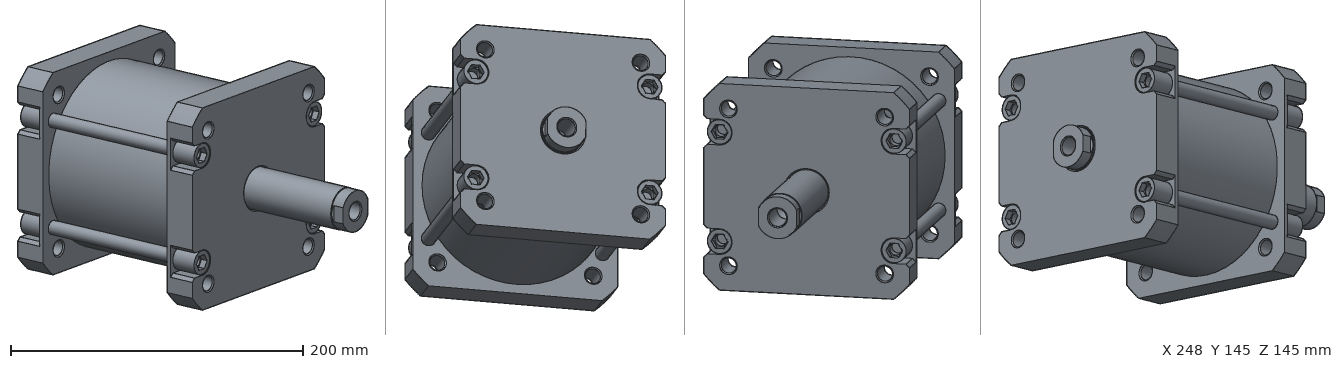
import cadquery as cq
import math


cover_size = 145.0
cover_thickness = 22.0
corner_turn_radius = 95.0
cover_bore_chamfer = 1.0
mount_hole_pitch = 110.0
mount_hole_diameter = 10.6
mount_hole_chamfer = 0.9

barrel_diameter = 132.0
barrel_length = 109.0

tie_rod_y = 61.5
tie_rod_z = 38.4
tie_rod_diameter = 10.0
tie_head_diameter = 17.0
tie_head_recess = 0.5
socket_across_flats = 10.0
socket_depth = 5.0
socket_bore_diameter = 8.5
socket_bore_depth = 12.0

pocket_width = 18.0
pocket_depth = 19.0
pocket_mouth_flare = 2.5

rod_diameter = 30.0
rod_rear_overhang = 10.0
rod_front_overhang = 85.0
rod_end_diameter = 29.4
rod_end_length = 9.4
flat_width = 27.0
flat_length = 8.0
thread_bore_diameter = 12.5
thread_bore_depth = 25.0
thread_bore_chamfer = 0.8
drill_tip_angle = 118.0

body_length = 2 * cover_thickness + barrel_length
rod_start = -rod_rear_overhang
rod_finish = body_length + rod_front_overhang
rod_middle = (rod_start + rod_finish) / 2
tie_rod_places = [(y, z) for y in (-tie_rod_y, tie_rod_y) for z in (-tie_rod_z, tie_rod_z)]


def cross_section(x):
    """Sketch plane square to the cylinder axis, with sketch axes along Y and Z."""
    return cq.Workplane("YZ", origin=(x, 0, 0))


def cylinder(diameter, start, length):
    return cross_section(start).circle(diameter / 2).extrude(length)


def cone(start, start_radius, length, end_radius):
    """Solid of revolution on the cylinder axis whose radius changes evenly along X."""
    profile = [(start, 0), (start, start_radius), (start + length, end_radius), (start + length, 0)]
    return cq.Workplane("XY").polyline(profile).close().revolve(360, (0, 0, 0), (1, 0, 0))


def mirror_ends(shape, middle):
    """Copy of a shape turned end for end about the cross-section at X = middle."""
    return shape.mirror("YZ", (middle, 0, 0))


def head_pocket(y, z):
    """Round-bottomed slot from the tie rod out to the side face, widening at its mouth."""
    half_width = pocket_width / 2
    half_mouth = half_width + pocket_mouth_flare
    side = math.copysign(1, y)
    face = side * cover_size / 2
    flare_start = face - side * pocket_mouth_flare
    return (
        cross_section(0)
        .moveTo(y, z + half_width)
        .lineTo(flare_start, z + half_width)
        .lineTo(face, z + half_mouth)
        .lineTo(face, z - half_mouth)
        .lineTo(flare_start, z - half_width)
        .lineTo(y, z - half_width)
        .threePointArc((y - side * half_width, z), (y, z + half_width))
        .close()
        .extrude(pocket_depth)
    )


def make_rear_cover():
    square = cross_section(0).rect(cover_size, cover_size).extrude(cover_thickness)
    cover = square.intersect(cylinder(2 * corner_turn_radius, 0, cover_thickness))

    bore_radius = rod_diameter / 2
    cover = cover.cut(cylinder(rod_diameter, 0, cover_thickness))
    cover = cover.cut(cone(0, bore_radius + cover_bore_chamfer, cover_bore_chamfer, bore_radius))

    hole = cylinder(mount_hole_diameter, 0, cover_thickness)
    hole_radius = mount_hole_diameter / 2
    countersink = cone(0, hole_radius + mount_hole_chamfer, mount_hole_chamfer, hole_radius)
    hole = hole.union(countersink).union(mirror_ends(countersink, cover_thickness / 2))
    half_pitch = mount_hole_pitch / 2
    for y in (-half_pitch, half_pitch):
        for z in (-half_pitch, half_pitch):
            cover = cover.cut(hole.translate((0, y, z)))

    for y, z in tie_rod_places:
        cover = cover.cut(cylinder(tie_rod_diameter, 0, cover_thickness).translate((0, y, z)))
        cover = cover.cut(head_pocket(y, z))
    return cover


def make_barrel():
    barrel = cylinder(barrel_diameter, cover_thickness, barrel_length)
    return barrel.cut(cylinder(rod_diameter, cover_thickness, barrel_length))


def make_tie_rod(y, z):
    rod = cylinder(tie_rod_diameter, pocket_depth, body_length - 2 * pocket_depth)
    head = cylinder(tie_head_diameter, tie_head_recess, pocket_depth - tie_head_recess)
    across_corners = socket_across_flats / math.cos(math.pi / 6)
    socket = cross_section(tie_head_recess).polygon(6, across_corners).extrude(socket_depth)
    head = head.cut(socket)
    head = head.cut(cylinder(socket_bore_diameter, tie_head_recess, socket_bore_depth))
    rod = rod.union(head).union(mirror_ends(head, body_length / 2))
    return rod.translate((0, y, z))


def rod_flats():
    """Waste on both sides of the rear rod end, its inner shoulder sloping at 45 degrees."""
    half_flat = flat_width / 2
    outside = rod_diameter
    flat_end = rod_start + flat_length
    profile = [
        (rod_start, half_flat),
        (flat_end, half_flat),
        (flat_end + outside - half_flat, outside),
        (rod_start, outside),
    ]
    waste = cq.Workplane("XY").polyline(profile).close().extrude(outside, both=True)
    return waste.union(waste.mirror("XZ"))


def thread_bore():
    """Blind bore in the rear rod end with a chamfered mouth and a drill-point bottom."""
    radius = thread_bore_diameter / 2
    tip_length = radius / math.tan(math.radians(drill_tip_angle / 2))
    bore = cylinder(thread_bore_diameter, rod_start, thread_bore_depth)
    mouth = cone(rod_start, radius + thread_bore_chamfer, thread_bore_chamfer, radius)
    tip_base = rod_start + thread_bore_depth
    tip_profile = [(tip_base, 0), (tip_base, radius), (tip_base + tip_length, 0)]
    tip = cq.Workplane("XY").polyline(tip_profile).close().revolve(360, (0, 0, 0), (1, 0, 0))
    return bore.union(mouth).union(tip)


def make_piston_rod():
    middle_length = rod_finish - rod_start - 2 * rod_end_length
    rod = cylinder(rod_diameter, rod_start + rod_end_length, middle_length)
    shoulder = (rod_diameter - rod_end_diameter) / 2
    rod = rod.faces("<X or >X").chamfer(shoulder)
    end = cylinder(rod_end_diameter, rod_start, rod_end_length)
    rod = rod.union(end).union(mirror_ends(end, rod_middle))
    for waste in (rod_flats(), thread_bore()):
        rod = rod.cut(waste).cut(mirror_ends(waste, rod_middle))
    return rod


rear_cover = make_rear_cover()
front_cover = mirror_ends(rear_cover, body_length / 2)
barrel = make_barrel()
piston_rod = make_piston_rod()
tie_rods = [make_tie_rod(y, z) for y, z in tie_rod_places]

result = cq.Compound.makeCompound(
    [
        rear_cover.val(),
        front_cover.val(),
        barrel.val(),
        piston_rod.val(),
        *[tie_rod.val() for tie_rod in tie_rods],
    ]
)